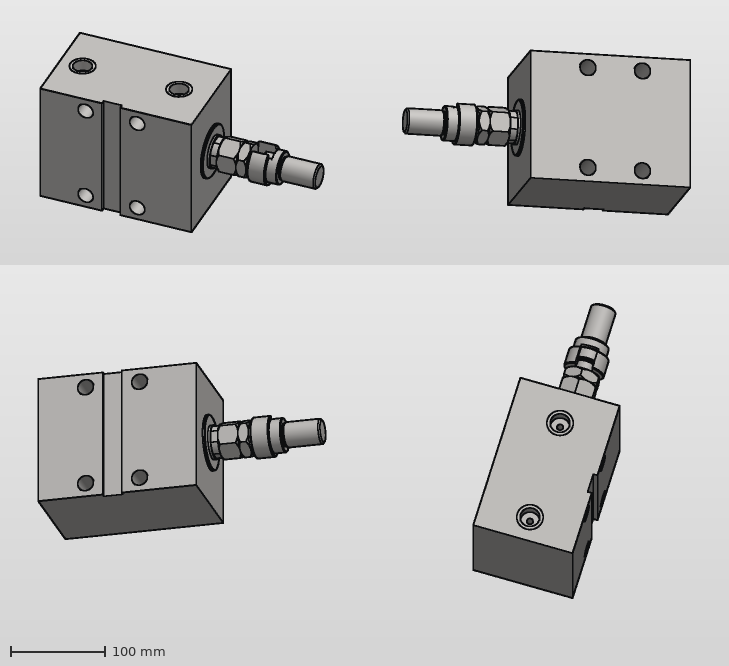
import cadquery as cq
import math


BLOCK_LENGTH = 173.5
BLOCK_WIDTH = 110.0
BLOCK_HEIGHT = 140.0
BLOCK_TOP = BLOCK_HEIGHT / 2
BLOCK_EDGE_CHAMFER = 0.3

KEYWAY_START = 70.8
KEYWAY_WIDTH = 20.8
KEYWAY_DEPTH = 4.8

MOUNT_HOLE_DIAMETER = 17.3
MOUNT_HOLE_FIRST_X = 52.0
MOUNT_HOLE_PITCH_X = 59.2
MOUNT_HOLE_PITCH_Z = 109.8

PORT_POSITIONS = (26.0, 136.5)
PORT_SEAT_DIAMETER = 28.0
PORT_SEAT_DEPTH = 0.15
PORT_BORE_DIAMETER = 20.8
PORT_BORE_DEPTH = 13.0
PORT_DRILL_DIAMETER = 6.5

PLUNGER_START = 15.0
PLUNGER_RADIUS = 30.0
PLUNGER_END = BLOCK_LENGTH + 2.7
PLUNGER_CHAMFER = 1.0
COLLAR_RADIUS = 18.5
COLLAR_END = PLUNGER_END + 2.7
ROD_RADIUS = 17.3
ROD_ACROSS_FLATS = 32.0

HEX_ACROSS_FLATS = 36.5
HEX_CORNER_RADIUS = HEX_ACROSS_FLATS / math.sqrt(3)
HEX_END_RADIUS = 18.5
HEX_CHAMFER_LENGTH = 2.7
NUT_START = 186.8
NUT_END = 209.0
STUD_HEX_END = 220.7

NECK_RADIUS = 9.5
NECK_FLARE_RADIUS = 10.0
NECK_FLARE_LENGTH = 1.5
HEAD_START = 233.8
HEAD_END = 247.0
HEAD_RADIUS = 13.0
HEAD_CHAMFER = 1.2

SOCKET_START = 223.5
RING_RADIUS = 22.0
RING_END = 243.5
BODY_RADIUS = 18.5
BODY_END = 255.8
SOCKET_CHAMFER = 1.0
RELIEF_RADIUS = 12.5
SHANK_START = 257.5
SHANK_RADIUS = 13.7
SHANK_END = 297.5
SHANK_CHAMFER = 1.8
SHANK_LEAD_IN = 0.5


def turned(profile):
    """Solid of revolution about the X axis from (x, radius) points."""
    return cq.Workplane("XZ").polyline(profile).close().revolve(360, (0, 0, 0), (1, 0, 0))


def round_bar(start, end, radius):
    """Cylinder on the X axis."""
    return cq.Workplane("YZ", origin=(start, 0, 0)).circle(radius).extrude(end - start)


def hexagon_bar(start, end):
    """Hexagonal bar on the X axis, corners up and down, with chamfered ends."""
    bar = cq.Workplane("YZ", origin=(start, 0, 0)).polygon(6, 2 * HEX_CORNER_RADIUS).extrude(end - start)
    bar = bar.rotate((0, 0, 0), (1, 0, 0), 90)
    envelope = turned([
        (start, 0),
        (start, HEX_END_RADIUS),
        (start + HEX_CHAMFER_LENGTH, HEX_CORNER_RADIUS),
        (end - HEX_CHAMFER_LENGTH, HEX_CORNER_RADIUS),
        (end, HEX_END_RADIUS),
        (end, 0),
    ])
    return bar.intersect(envelope)


def keyway():
    """Groove across the full height of the -Y face."""
    floor_y = KEYWAY_DEPTH - BLOCK_WIDTH / 2
    return (
        cq.Workplane("XY")
        .box(KEYWAY_WIDTH, BLOCK_WIDTH, BLOCK_HEIGHT)
        .translate((KEYWAY_START + KEYWAY_WIDTH / 2, floor_y - BLOCK_WIDTH / 2, 0))
    )


def mounting_holes():
    """Four through holes along Y."""
    return (
        cq.Workplane("XZ")
        .center(MOUNT_HOLE_FIRST_X + MOUNT_HOLE_PITCH_X / 2, 0)
        .rarray(MOUNT_HOLE_PITCH_X, MOUNT_HOLE_PITCH_Z, 2, 2)
        .circle(MOUNT_HOLE_DIAMETER / 2)
        .extrude(BLOCK_WIDTH / 2, both=True)
    )


def oil_port(x):
    """Stepped port from the top face down to the piston."""
    steps = (
        (PORT_DRILL_DIAMETER, BLOCK_TOP),
        (PORT_BORE_DIAMETER, PORT_BORE_DEPTH),
        (PORT_SEAT_DIAMETER, PORT_SEAT_DEPTH),
    )
    port = cq.Workplane("XY")
    for diameter, depth in steps:
        step = cq.Workplane("XY", origin=(x, 0, BLOCK_TOP)).circle(diameter / 2).extrude(-depth)
        port = port.add(step)
    return port.combine()


def make_block():
    """Cylinder block with its bore, ports, keyway, mounting holes and broken -Y edges."""
    block = cq.Workplane("XY").box(BLOCK_LENGTH, BLOCK_WIDTH, BLOCK_HEIGHT)
    block = block.translate((BLOCK_LENGTH / 2, 0, 0))
    block = block.faces("<Y").edges("|X").chamfer(BLOCK_EDGE_CHAMFER)
    block = block.cut(keyway()).cut(mounting_holes())
    for x in PORT_POSITIONS:
        block = block.cut(oil_port(x))
    return block.cut(round_bar(PLUNGER_START, BLOCK_LENGTH, PLUNGER_RADIUS))


def make_piston():
    """Plunger that fills the bore, with its collar and flatted rod end."""
    plunger = turned([
        (PLUNGER_START, 0),
        (PLUNGER_START, PLUNGER_RADIUS),
        (PLUNGER_END - PLUNGER_CHAMFER, PLUNGER_RADIUS),
        (PLUNGER_END, PLUNGER_RADIUS - PLUNGER_CHAMFER),
        (PLUNGER_END, COLLAR_RADIUS),
        (COLLAR_END, COLLAR_RADIUS),
        (COLLAR_END, 0),
    ])
    flats = (
        cq.Workplane("YZ", origin=(COLLAR_END, 0, 0))
        .rect(ROD_ACROSS_FLATS, ROD_ACROSS_FLATS)
        .extrude(NUT_START - COLLAR_END)
    )
    rod_end = round_bar(COLLAR_END, NUT_START, ROD_RADIUS).intersect(flats)
    return plunger.union(rod_end)


def make_lock_nut():
    """Hexagonal nut between the rod end and the coupling stud."""
    return hexagon_bar(NUT_START, NUT_END)


def make_stud():
    """Coupling stud: hexagon, flared neck and round head."""
    neck_and_head = turned([
        (STUD_HEX_END, 0),
        (STUD_HEX_END, NECK_FLARE_RADIUS),
        (STUD_HEX_END + NECK_FLARE_LENGTH, NECK_RADIUS),
        (HEAD_START - NECK_FLARE_LENGTH, NECK_RADIUS),
        (HEAD_START, NECK_FLARE_RADIUS),
        (HEAD_START, HEAD_RADIUS - HEAD_CHAMFER),
        (HEAD_START + HEAD_CHAMFER, HEAD_RADIUS),
        (HEAD_END - HEAD_CHAMFER, HEAD_RADIUS),
        (HEAD_END, HEAD_RADIUS - HEAD_CHAMFER),
        (HEAD_END, 0),
    ])
    return hexagon_bar(NUT_END, STUD_HEX_END).union(neck_and_head)


def stud_pocket():
    """U-shaped slot as wide as the neck, open upward, with a round chamber for the head."""
    slot = (
        cq.Workplane("XY", origin=(SOCKET_START, 0, 0))
        .box(HEAD_END - SOCKET_START, 2 * NECK_RADIUS, RING_RADIUS, centered=(False, True, False))
    )
    neck_seat = round_bar(SOCKET_START, HEAD_END, NECK_RADIUS)
    head_chamber = round_bar(HEAD_START - NECK_FLARE_LENGTH, HEAD_END, HEAD_RADIUS)
    return slot.union(neck_seat).union(head_chamber)


def make_socket():
    """Coupling socket that takes the stud's head and ends in a threaded shank."""
    socket = turned([
        (SOCKET_START, 0),
        (SOCKET_START, RING_RADIUS - SOCKET_CHAMFER),
        (SOCKET_START + SOCKET_CHAMFER, RING_RADIUS),
        (RING_END - SOCKET_CHAMFER, RING_RADIUS),
        (RING_END, RING_RADIUS - SOCKET_CHAMFER),
        (RING_END, BODY_RADIUS),
        (BODY_END - SOCKET_CHAMFER, BODY_RADIUS),
        (BODY_END, BODY_RADIUS - SOCKET_CHAMFER),
        (BODY_END, RELIEF_RADIUS),
        (SHANK_START, RELIEF_RADIUS),
        (SHANK_START, SHANK_RADIUS - SHANK_LEAD_IN),
        (SHANK_START + SHANK_LEAD_IN, SHANK_RADIUS),
        (SHANK_END - SHANK_CHAMFER, SHANK_RADIUS),
        (SHANK_END, SHANK_RADIUS - SHANK_CHAMFER),
        (SHANK_END, 0),
    ])
    return socket.cut(stud_pocket())


block = make_block()
piston = make_piston()
lock_nut = make_lock_nut()
stud = make_stud()
socket = make_socket()

result = cq.Compound.makeCompound([
    block.val(),
    piston.val(),
    lock_nut.val(),
    stud.val(),
    socket.val(),
])